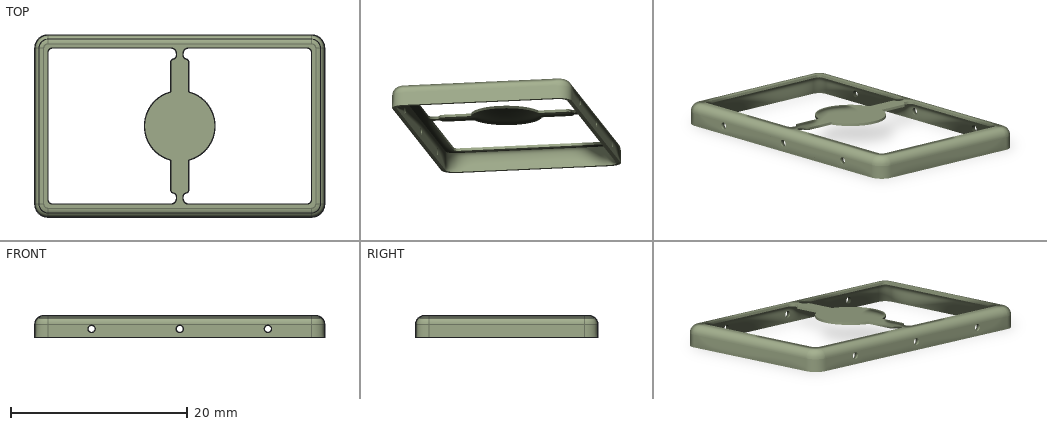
import cadquery as cq
import math

length = 32.9
width = 20.7
height = 2.5
corner_radius = 1.5
top_round = 1.02
rim_width = 1.5
opening_corner_radius = 0.5

wall = 0.5
hollow_corner_radius = corner_radius - wall

plate_thickness = 0.3
disk_diameter = 8.03
tab_width = 2.07
neck_width = 0.8
neck_length = 1.22
neck_radius = 0.6
shoulder_radius = 0.4

hole_diameter = 0.8
hole_spacing = 10.0
hole_height = 1.0

opening_length = length - 2 * rim_width
opening_width = width - 2 * rim_width


def make_frame():
    """Frame with rounded corners, a rounded top edge, a thin inner rim and a hollow below."""
    body = (
        cq.Workplane("XY")
        .rect(length, width)
        .extrude(height)
        .edges("|Z")
        .fillet(corner_radius)
        .faces(">Z")
        .edges()
        .fillet(top_round)
    )
    opening = (
        cq.Workplane("XY")
        .rect(opening_length, opening_width)
        .extrude(height)
        .edges("|Z")
        .fillet(opening_corner_radius)
    )
    hollow = (
        cq.Workplane("XY")
        .rect(length - 2 * wall, width - 2 * wall)
        .extrude(height - plate_thickness)
        .edges("|Z")
        .fillet(hollow_corner_radius)
    )
    return body.cut(opening).cut(hollow)


def make_web():
    """Central disk on two tabs, each narrowing to a neck where it meets the rim."""
    half_neck = neck_width / 2
    half_tab = tab_width / 2
    root_y = opening_width / 2
    shoulder_y = root_y - neck_length
    shoulder_x = (half_neck + half_tab) / 2
    shoulder_angle = math.acos(1 - (half_tab - shoulder_x) / shoulder_radius)
    shoulder_rise = shoulder_radius * math.sin(shoulder_angle)
    anchor_y = root_y + opening_corner_radius / 2
    flare = half_neck + neck_radius

    tab = (
        cq.Workplane("XY")
        .workplane(offset=height - plate_thickness)
        .moveTo(0, 0)
        .lineTo(half_tab, 0)
        .lineTo(half_tab, shoulder_y - shoulder_rise)
        .radiusArc((shoulder_x, shoulder_y), -shoulder_radius)
        .radiusArc((half_neck, shoulder_y + shoulder_rise), shoulder_radius)
        .lineTo(half_neck, root_y - neck_radius)
        .radiusArc((flare, root_y), neck_radius)
        .lineTo(flare, anchor_y)
        .lineTo(0, anchor_y)
        .close()
        .extrude(plate_thickness)
    )
    tab = tab.union(tab.mirror("YZ"))
    disk = (
        cq.Workplane("XY")
        .workplane(offset=height - plate_thickness)
        .circle(disk_diameter / 2)
        .extrude(plate_thickness)
    )
    return disk.union(tab).union(tab.mirror("XZ"))


def make_holes():
    """Three holes along Y, spaced evenly about the middle of the long walls."""
    return (
        cq.Workplane("XZ", origin=(0, 0, hole_height))
        .rarray(hole_spacing, 0.33, 3, 1)
        .circle(hole_diameter / 2)
        .extrude(width / 2, both=True)
    )


result = make_frame().union(make_web()).cut(make_holes())